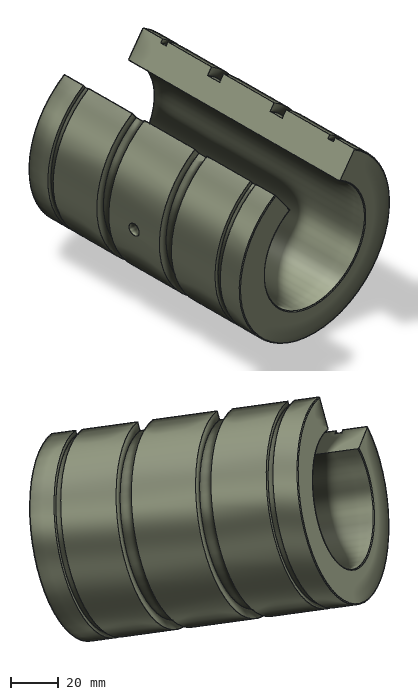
import cadquery as cq
import math

length = 125.0
outer_radius = 45.0
bore_radius = 30.0
edge_chamfer = 0.4

opening_top_z = 38.2
flank_angle = 36.0

wide_groove_width = 7.1
wide_groove_depth = 4.0
wide_groove_offset = 18.5
narrow_groove_width = 3.1
narrow_groove_depth = 1.9
narrow_groove_offset = 49.4

hole_diameter = 6.0

cut_clearance = 1.2


def cylinder(radius, width, x_center=0.0):
    """Solid cylinder along X, centred on x_center."""
    start = x_center - width / 2
    return cq.Workplane("YZ", origin=(start, 0, 0)).circle(radius).extrude(width)


def groove(width, depth, x_center):
    """Ring that cuts a groove into the outer surface."""
    blank = cylinder(outer_radius + cut_clearance, width, x_center)
    return blank.cut(cylinder(outer_radius - depth, width, x_center))


def opening_cutter():
    """Wedge along X whose flanks form the longitudinal opening."""
    edge_y = math.sqrt(outer_radius**2 - opening_top_z**2)
    slope = math.tan(math.radians(flank_angle))
    apex_z = opening_top_z - edge_y / slope
    top_z = outer_radius + cut_clearance
    top_y = (top_z - apex_z) * slope
    outline = [(0, apex_z), (top_y, top_z), (-top_y, top_z)]
    start = -length / 2
    return cq.Workplane("YZ", origin=(start, 0, 0)).polyline(outline).close().extrude(length)


sleeve = cylinder(outer_radius, length).cut(cylinder(bore_radius, length))
sleeve = sleeve.faces("<X or >X").edges().chamfer(edge_chamfer)

for side in (-1, 1):
    sleeve = sleeve.cut(groove(wide_groove_width, wide_groove_depth, side * wide_groove_offset))
    sleeve = sleeve.cut(groove(narrow_groove_width, narrow_groove_depth, side * narrow_groove_offset))

sleeve = sleeve.cut(opening_cutter())

radial_hole = cq.Workplane("XZ").circle(hole_diameter / 2).extrude(outer_radius)
result = sleeve.cut(radial_hole)